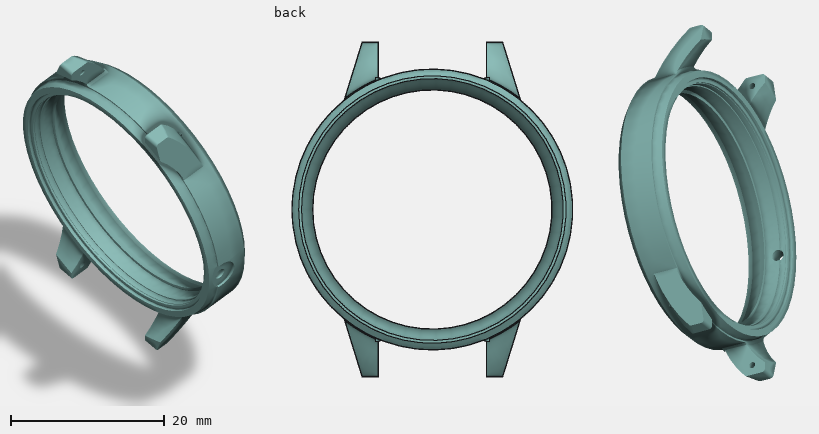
import cadquery as cq
import math


case_radius = 18.25
rear_chamfer = 0.85
step_depth = 5.4
ring_depth = 6.7
front_cone_base_radius = 18.0
front_face_radius = 17.75

rear_seat_radius = 17.0
rear_seat_depth = 0.6
lip_radius = 15.55
lip_depth = 3.18
bore_radius = 16.0
bore_depth = 5.2
gasket_radius = 16.2
gasket_depth = 6.0
cover_radius = 16.25
front_seat_depth = 6.25
front_seat_radius = 16.85

lug_half_height = 21.75
lug_inner_x = 7.0
lug_tip_x = 9.15
lug_taper = 0.31
lug_front_depth = 8.1
lug_root_radius = 17.2
lug_root_z = 10.88
lug_rear_depth = 1.85
lug_rear_start = (18.4, -2.05)
lug_rear_middle = (20.23, -3.05)
lug_rear_end = (23.65, -6.15)
lug_front_start = (21.58, -lug_front_depth)
lug_front_middle = (20.25, -6.7)
lug_tip_fillet = 0.45
root_flare = 0.4
root_flare_height = 0.3

bar_hole_radius = 0.45
bar_hole_length = 1.3
bar_hole_depth = 6.18
bar_hole_z = 20.35

crown_depth = 4.87
crown_hole_radius = 0.8
crown_recess_radius = 2.18
crown_floor_x = 17.85


def revolve_about_y(profile):
    """Revolve a profile, drawn in XY as (radius, -depth), fully about Y."""
    return profile.close().revolve(360, (0, 0, 0), (0, 1, 0))


def x_cylinder(radius, start_x, length, depth, z):
    """Cylinder along X starting at start_x."""
    start = cq.Vector(start_x, -depth, z)
    return cq.Workplane(cq.Solid.makeCylinder(radius, length, start, cq.Vector(1, 0, 0)))


def make_ring():
    outline = [
        (rear_seat_radius, 0),
        (case_radius - rear_chamfer, 0),
        (case_radius, -rear_chamfer),
        (case_radius, -step_depth),
        (front_cone_base_radius, -step_depth),
        (front_face_radius, -ring_depth),
        (front_seat_radius, -ring_depth),
        (front_seat_radius, -front_seat_depth),
        (cover_radius, -front_seat_depth),
        (cover_radius, -gasket_depth),
        (gasket_radius, -gasket_depth),
        (gasket_radius, -bore_depth),
        (bore_radius, -bore_depth),
        (bore_radius, -lip_depth),
        (lip_radius, -lip_depth),
        (rear_seat_radius, -rear_seat_depth),
    ]
    return revolve_about_y(cq.Workplane("XY").polyline(outline))


def make_lug():
    """Lug at +X, +Z: a revolved curved band trimmed by a tapered prism."""
    tip_corner_radius = lug_half_height + lug_tip_x
    band = revolve_about_y(
        cq.Workplane("XY")
        .moveTo(lug_root_radius, -lug_rear_depth)
        .lineTo(case_radius, -lug_rear_depth)
        .lineTo(*lug_rear_start)
        .threePointArc(lug_rear_middle, lug_rear_end)
        .lineTo(tip_corner_radius, lug_rear_end[1])
        .lineTo(tip_corner_radius, -lug_front_depth)
        .lineTo(*lug_front_start)
        .threePointArc(lug_front_middle, (case_radius + root_flare_height, -step_depth))
        .lineTo(lug_root_radius, -step_depth)
    )
    root_x = lug_tip_x + lug_taper * (lug_half_height - lug_root_z)
    prism = (
        cq.Workplane("XZ")
        .polyline([
            (lug_inner_x, lug_root_z),
            (root_x, lug_root_z),
            (lug_tip_x, lug_half_height),
            (lug_inner_x, lug_half_height),
        ])
        .close()
        .extrude(lug_front_depth)
    )
    lug = band.intersect(prism)
    lug = lug.faces(">Z").edges("<Y or >Y").fillet(lug_tip_fillet)
    bar_hole = x_cylinder(bar_hole_radius, lug_inner_x, bar_hole_length, bar_hole_depth, bar_hole_z)
    return lug.cut(bar_hole)


def make_root_flare():
    """Concave flare filling the corner between the inner lug face and the ring."""
    outer_x = lug_inner_x - root_flare
    inner_z = math.sqrt(case_radius**2 - lug_inner_x**2)
    outer_z = math.sqrt(case_radius**2 - outer_x**2)
    top_z = inner_z + root_flare_height
    flare_sagitta = 0.05
    middle = (lug_inner_x - root_flare / 2 + flare_sagitta, (top_z + outer_z) / 2)
    return (
        cq.Workplane("XZ", origin=(0, -lug_rear_depth, 0))
        .moveTo(outer_x, outer_z)
        .threePointArc(middle, (lug_inner_x, top_z))
        .lineTo(lug_inner_x + root_flare, top_z)
        .lineTo(lug_inner_x + root_flare, inner_z - root_flare)
        .lineTo(outer_x, inner_z - root_flare)
        .close()
        .extrude(step_depth - lug_rear_depth)
    )


def add_lugs(case):
    lug = make_lug().union(make_root_flare())
    upper_pair = lug.union(lug.mirror("YZ"))
    return case.union(upper_pair).union(upper_pair.mirror("XY"))


def cut_crown_opening(case):
    recess = x_cylinder(crown_recess_radius, crown_floor_x, case_radius, crown_depth, 0)
    hole = x_cylinder(crown_hole_radius, 0, 2 * case_radius, crown_depth, 0)
    return case.cut(recess).cut(hole)


result = cut_crown_opening(add_lugs(make_ring()))